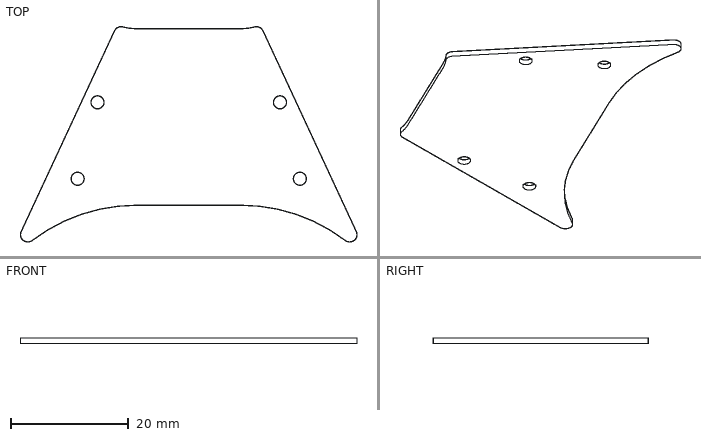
import cadquery as cq
import math

width = 57.2
depth = 36.6
thickness = 1.0

corner_radius = 1.25
straight_half_length = 8.85
front_edge_y = 6.25
back_edge_y = 36.25
front_corner = (width / 2 - corner_radius, corner_radius)
back_corner = (11.5, depth - corner_radius)

hole_diameter = 2.2
hole_positions = [(18.9, 10.75), (15.5, 23.75)]


def point_on_circle(center, radius, angle):
    return (center[0] + radius * math.cos(angle), center[1] + radius * math.sin(angle))


def concave_arc(edge_y, corner, outward):
    """Arc tangent to a straight edge end and to a corner circle.

    outward is the Y direction (+1 or -1) pointing out of the plate.
    Returns the arc's middle point, its end on the corner circle and the
    direction angle from the corner centre to that end.
    """
    run = corner[0] - straight_half_length
    inset = outward * (edge_y - corner[1])
    radius = (run**2 + inset**2 - corner_radius**2) / (2 * (corner_radius - inset))
    center = (straight_half_length, edge_y + outward * radius)
    start_angle = -outward * math.pi / 2
    end_angle = math.atan2(corner[1] - center[1], run)
    middle = point_on_circle(center, radius, (start_angle + end_angle) / 2)
    end = point_on_circle(center, radius, end_angle)
    contact_angle = math.atan2(center[1] - corner[1], -run)
    return middle, end, contact_angle


def mirrored(point):
    return (-point[0], point[1])


front_middle, front_end, front_angle = concave_arc(front_edge_y, front_corner, -1)
back_middle, back_end, back_angle = concave_arc(back_edge_y, back_corner, 1)

side_angle = math.atan2(front_corner[0] - back_corner[0], back_corner[1] - front_corner[1])
side_front = point_on_circle(front_corner, corner_radius, side_angle)
side_back = point_on_circle(back_corner, corner_radius, side_angle)
front_tip = point_on_circle(front_corner, corner_radius, (front_angle + side_angle) / 2)
back_tip = point_on_circle(back_corner, corner_radius, (back_angle + side_angle) / 2)

front_start = (straight_half_length, front_edge_y)
back_start = (straight_half_length, back_edge_y)

outline = (
    cq.Workplane("XY")
    .moveTo(*mirrored(front_start))
    .lineTo(*front_start)
    .threePointArc(front_middle, front_end)
    .threePointArc(front_tip, side_front)
    .lineTo(*side_back)
    .threePointArc(back_tip, back_end)
    .threePointArc(back_middle, back_start)
    .lineTo(*mirrored(back_start))
    .threePointArc(mirrored(back_middle), mirrored(back_end))
    .threePointArc(mirrored(back_tip), mirrored(side_back))
    .lineTo(*mirrored(side_front))
    .threePointArc(mirrored(front_tip), mirrored(front_end))
    .threePointArc(mirrored(front_middle), mirrored(front_start))
    .close()
)
plate = outline.extrude(thickness)

all_holes = hole_positions + [mirrored(position) for position in hole_positions]
holes = cq.Workplane("XY").pushPoints(all_holes).circle(hole_diameter / 2).extrude(thickness)

result = plate.cut(holes)